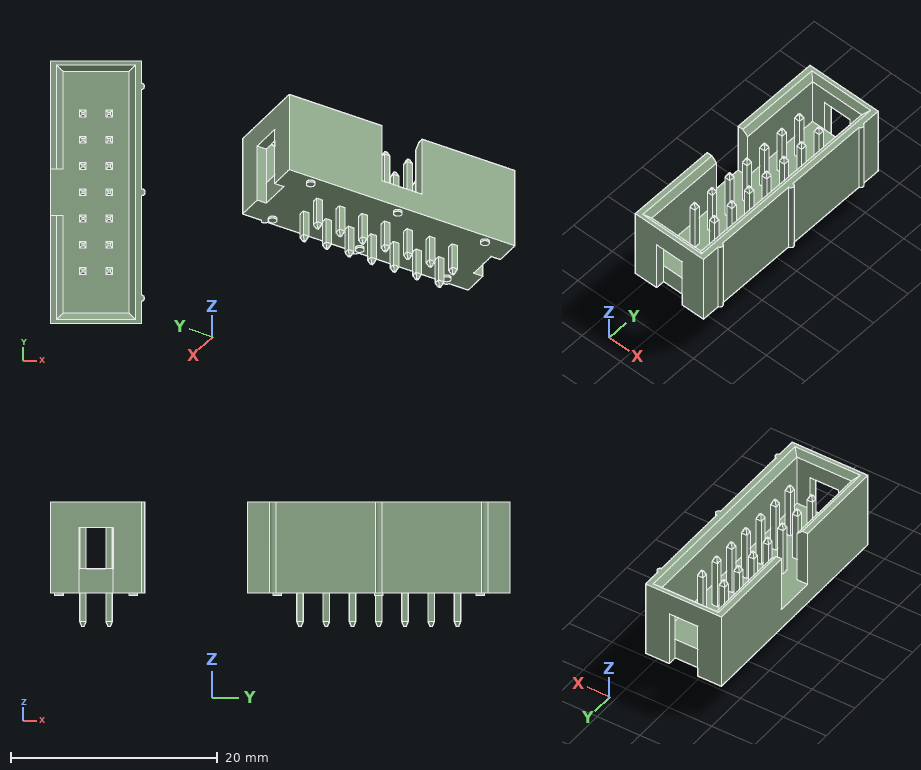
import cadquery as cq

body_x = 8.85
body_y = 25.44
body_z = 8.85
side_wall = 1.24
end_wall = 1.03
floor_z = 2.38
lead_in_width = 0.62
lead_in_depth = 0.6

key_width = 4.5
end_slot_width = 3.3
end_slot_top = 6.35

pin_rows = 2
pins_per_row = 7
pin_pitch = 2.54
pin_size = 0.64
pin_top = 8.38
pin_bottom = -3.25
pin_tip_length = 0.5
pin_tip_size = 0.22

foot_diameter = 0.85
foot_height = 0.22
foot_x = 3.6
foot_y = 9.82

rib_radius = 0.33
rib_y = 10.25
centre_rib_height = 0.33
outer_rib_height = 0.26

cavity_x = body_x - 2 * side_wall
cavity_y = body_y - 2 * end_wall


def block(x_size, y_size, z_low, z_high):
    """Box centred on X and Y between two heights."""
    return cq.Workplane("XY").workplane(offset=z_low).rect(x_size, y_size).extrude(z_high - z_low)


def frustum(low_size, high_size, z_low, z_high):
    """Tapered block between two centred rectangles given as (x, y) sizes."""
    return (
        cq.Workplane("XY").workplane(offset=z_low).rect(*low_size)
        .workplane(offset=z_high - z_low).rect(*high_size)
        .loft(ruled=True)
    )


def make_body():
    """Open shroud with a bevelled mouth, a key notch and a slot in each end."""
    cavity = block(cavity_x, cavity_y, floor_z, body_z)
    mouth = (cavity_x + 2 * lead_in_width, cavity_y + 2 * lead_in_width)
    lead_in = frustum((cavity_x, cavity_y), mouth, body_z - lead_in_depth, body_z)
    body = block(body_x, body_y, 0, body_z).cut(cavity).cut(lead_in)

    key_notch = block(side_wall, key_width, floor_z, body_z)
    body = body.cut(key_notch.translate(((side_wall - body_x) / 2, 0, 0)))

    end_slot = block(end_slot_width, end_wall, 0, end_slot_top)
    for side in (-1, 1):
        body = body.cut(end_slot.translate((0, side * (body_y - end_wall) / 2, 0)))
    return body


def make_pin():
    """Square pin tapered at both ends."""
    shank = (pin_size, pin_size)
    tip = (pin_tip_size, pin_tip_size)
    shank_bottom = pin_bottom + pin_tip_length
    shank_top = pin_top - pin_tip_length
    pin = block(pin_size, pin_size, shank_bottom, shank_top)
    pin = pin.union(frustum(tip, shank, pin_bottom, shank_bottom))
    return pin.union(frustum(shank, tip, shank_top, pin_top))


def make_rib(y, height):
    """Full-height round rib sunk into the +X wall."""
    axis_x = body_x / 2 + height - rib_radius
    return cq.Workplane("XY").center(axis_x, y).circle(rib_radius).extrude(body_z)


def make_feet():
    """Round standoffs in a row along each long wall."""
    places = [(x, y) for x in (-foot_x, foot_x) for y in (-foot_y, 0, foot_y)]
    return cq.Workplane("XY").pushPoints(places).circle(foot_diameter / 2).extrude(-foot_height)


result = make_body().union(make_feet())

result = result.union(make_rib(0, centre_rib_height))
for side in (-1, 1):
    result = result.union(make_rib(side * rib_y, outer_rib_height))

pin = make_pin()
for row in range(pin_rows):
    for column in range(pins_per_row):
        pin_x = (row - (pin_rows - 1) / 2) * pin_pitch
        pin_y = (column - (pins_per_row - 1) / 2) * pin_pitch
        result = result.union(pin.translate((pin_x, pin_y, 0)))